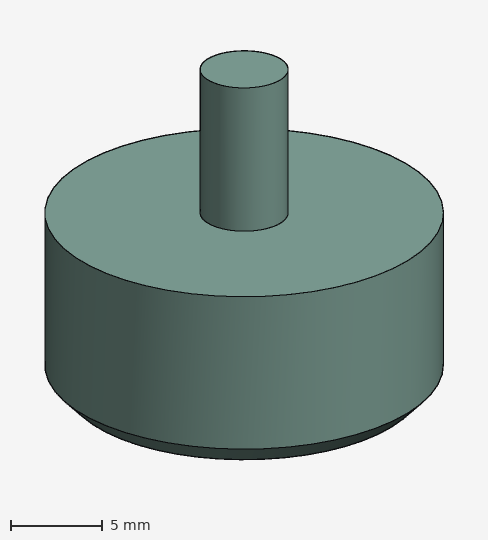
import cadquery as cq

total_height = 21.8
body_diameter = 21.7
pin_diameter = 4.8

pin_length = 8.6
tip_height = 2.9
bevel_height = 1.15

bevel_width = 1.1

body_radius = body_diameter / 2
pin_radius = pin_diameter / 2
tip_radius = body_radius - bevel_width

bevel_bottom = tip_height
bevel_top = bevel_bottom + bevel_height
body_top = total_height - pin_length


def turned_profile():
    """Half section in the XZ plane, from the point up to the pin end."""
    return (
        cq.Workplane("XZ")
        .moveTo(0, 0)
        .lineTo(tip_radius, bevel_bottom)
        .lineTo(body_radius, bevel_top)
        .lineTo(body_radius, body_top)
        .lineTo(pin_radius, body_top)
        .lineTo(pin_radius, total_height)
        .lineTo(0, total_height)
        .close()
    )


result = turned_profile().revolve(360, (0, 0, 0), (0, 1, 0))